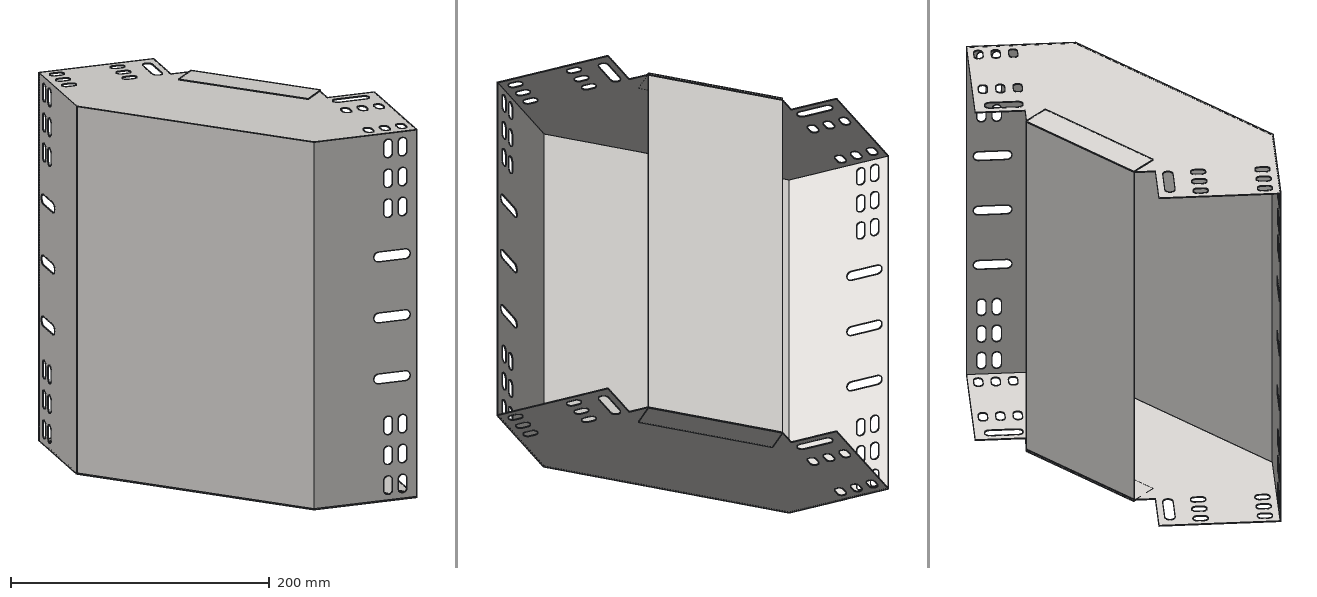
import cadquery as cq
import math

SHEET = 0.8
OUTER_WIDTH = 322.0
OUTER_DEPTH = 127.0
OUTER_HEIGHT = 303.0
TRAY_HEIGHT = OUTER_HEIGHT - 2 * SHEET

FRONT_WIDTH = 202.3
WING_ANGLE = 45.0
WING_RUN = (OUTER_WIDTH - FRONT_WIDTH) / 2
TIP_X = OUTER_WIDTH / 2
TIP_Y = WING_RUN
PEAK_RUN = OUTER_DEPTH - WING_RUN
PEAK_X = TIP_X - PEAK_RUN
NOTCH_RUN = 27.5
NOTCH_X = PEAK_X - NOTCH_RUN
NOTCH_Y = OUTER_DEPTH - NOTCH_RUN

CLIP_WIDTH = 110.5
CLIP_DEPTH = 23.0
BACK_EDGE_Y = NOTCH_Y + NOTCH_X - CLIP_WIDTH / 2

SHORT_SLOT_WIDTH = 7.0
LONG_SLOT_WIDTH = 8.0
LONG_SLOT = 30.0
WALL_SHORT_SLOT = 15.0
FLANGE_SHORT_SLOT = 12.0
CUT_REACH = 3.2
UPRIGHT = 90.0

WALL_COLUMNS = (11.5, 23.5)
WALL_ROW_TOP = 138.0
WALL_ROW_PITCH = 24.5
WALL_ROWS = 3
WALL_LONG_INSET = 20.3
WALL_LONG_PITCH = 50.0

FLANGE_COLUMNS = (12.0, 62.0)
FLANGE_ROW_INSET = 8.5
FLANGE_ROW_PITCH = 13.5
FLANGE_ROWS = 3
FLANGE_LONG_ALONG = 85.5
FLANGE_LONG_INSET = 23.0


def tray_blank():
    """Solid prism with the tray's plan outline, centred on mid-height."""
    right_half = [
        (FRONT_WIDTH / 2, 0),
        (TIP_X, TIP_Y),
        (PEAK_X, OUTER_DEPTH),
        (NOTCH_X, NOTCH_Y),
        (CLIP_WIDTH / 2, BACK_EDGE_Y),
    ]
    left_half = [(-x, y) for x, y in reversed(right_half)]
    return (
        cq.Workplane("XY")
        .polyline(right_half + left_half)
        .close()
        .extrude(TRAY_HEIGHT / 2, both=True)
    )


def tray_cavity():
    """Space inside the walls and flanges, open at the wing ends and at the back."""
    corner_x = FRONT_WIDTH / 2 - SHEET * math.tan(math.radians(WING_ANGLE / 2))
    reach = OUTER_WIDTH
    return (
        cq.Workplane("XY")
        .polyline([
            (-corner_x, SHEET),
            (corner_x, SHEET),
            (corner_x + reach, SHEET + reach),
            (-corner_x - reach, SHEET + reach),
        ])
        .close()
        .extrude(TRAY_HEIGHT / 2 - SHEET, both=True)
    )


def wall_slots():
    """Cutters for the slots of the right wing."""
    wing = cq.Workplane(cq.Plane(origin=(TIP_X, TIP_Y, 0), xDir=(-1, -1, 0), normal=(1, -1, 0)))
    rows = [sign * (WALL_ROW_TOP - i * WALL_ROW_PITCH) for sign in (1, -1) for i in range(WALL_ROWS)]
    upright = (
        wing.pushPoints([(column, row) for column in WALL_COLUMNS for row in rows])
        .slot2D(WALL_SHORT_SLOT, SHORT_SLOT_WIDTH, UPRIGHT)
        .extrude(CUT_REACH, both=True)
    )
    level = (
        wing.pushPoints([(WALL_LONG_INSET, i * WALL_LONG_PITCH) for i in (-1, 0, 1)])
        .slot2D(LONG_SLOT, LONG_SLOT_WIDTH)
        .extrude(CUT_REACH, both=True)
    )
    return [upright, level]


def flange_slots():
    """Cutters for the slots at the right end, passing through both flanges."""
    end = cq.Workplane(cq.Plane(origin=(TIP_X, TIP_Y, 0), xDir=(-1, 1, 0), normal=(0, 0, 1)))
    insets = [FLANGE_ROW_INSET + i * FLANGE_ROW_PITCH for i in range(FLANGE_ROWS)]
    short = (
        end.pushPoints([(along, inset) for along in FLANGE_COLUMNS for inset in insets])
        .slot2D(FLANGE_SHORT_SLOT, SHORT_SLOT_WIDTH)
        .extrude(OUTER_HEIGHT / 2, both=True)
    )
    long = (
        end.center(FLANGE_LONG_ALONG, FLANGE_LONG_INSET)
        .slot2D(LONG_SLOT, LONG_SLOT_WIDTH, UPRIGHT)
        .extrude(OUTER_HEIGHT / 2, both=True)
    )
    return [short, long]


def make_tray():
    """Bent tray: front wall, two slotted wings, and a top and a bottom flange."""
    body = tray_blank().cut(tray_cavity())
    for cutter in wall_slots() + flange_slots():
        body = body.cut(cutter).cut(cutter.mirror("YZ"))
    return body


def make_clip():
    """U-shaped clip: a web on the back edges of the tray and a lip over each flange."""
    back_y = BACK_EDGE_Y + SHEET
    block = cq.Workplane("XY").box(CLIP_WIDTH, CLIP_DEPTH, OUTER_HEIGHT)
    opening = cq.Workplane("XY").box(CLIP_WIDTH, CLIP_DEPTH, TRAY_HEIGHT).translate((0, -SHEET, 0))
    return block.cut(opening).translate((0, back_y - CLIP_DEPTH / 2, 0))


tray = make_tray()
clip = make_clip()

result = cq.Compound.makeCompound([tray.val(), clip.val()])